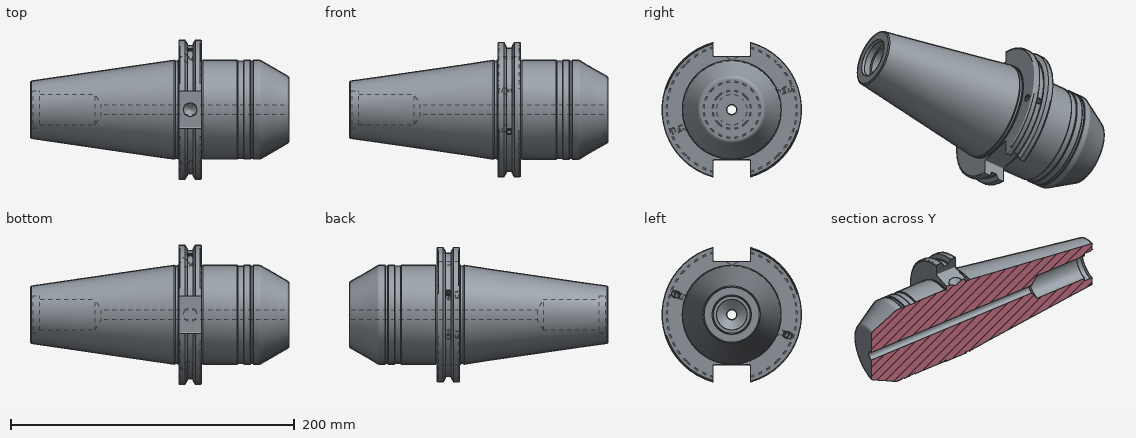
import cadquery as cq
import math


total_length = 182.6
gauge_line = 101.5
flange_start = 104.8
flange_width = 15.9
flange_end = flange_start + flange_width
flange_middle = flange_start + flange_width / 2

gauge_radius = 70.0 / 2
taper_slope = 7 / 48
taper_end_radius = gauge_radius - gauge_line * taper_slope
taper_end_chamfer = 0.7

body_radius = gauge_radius
neck_radius = 68.8 / 2
neck_width = 1.1
relief_bevel = 1.0
relief_end = 104.0
nose_start = 162.0
nose_angle = math.radians(30)
nose_end_radius = body_radius - (total_length - nose_start) * math.tan(nose_angle)
nose_start_fillet = 2.5
nose_end_fillet = 3.0
body_groove_radius = neck_radius
body_grooves = [(145.9, 150.8), (155.0, 157.5)]
body_groove_bevel = 0.5
groove_clearance = 1.8

flange_radius = 98.5 / 2
flange_fillet = 1.0
gripper_floor_radius = 90.8 / 2
gripper_floor_width = 4.0
gripper_wall_depth = 1.0
gripper_wall_angle = math.radians(30)
gripper_wall_radius = gripper_floor_radius + gripper_wall_depth
gripper_flare = (flange_radius - gripper_wall_radius) * math.tan(gripper_wall_angle)

slot_width = 26.3
slot_fillet = 0.7
top_slot_floor = 37.6
bottom_slot_floor = 35.5
dimple_radius = 9.5 / 2

pilot_radius = 7.0 / 2
thread_radius = 21.5 / 2
thread_depth = 45.6
counterbore_radius = 26.1 / 2
counterbore_depth = 6.4
mouth_radius = 27.8 / 2
mouth_depth = 1.8
drill_point_slope = math.tan(math.radians(31))

coolant_turn = 20.0
coolant_entry_radius = 42.2
coolant_slant = math.radians(35)
slanted_hole_radius = 4.2 / 2
slanted_seat_radius = 5.0 / 2
slanted_seat_depth = 2.4
cross_hole_radius = 3.3 / 2
cross_seat_radius = 4.2 / 2
cross_seat_depth = 0.7


def revolve_profile(points):
    """Turn an (x, radius) outline about the X axis."""
    outline = cq.Workplane("XY").polyline(points).close()
    return outline.revolve(360, (0, 0, 0), (1, 0, 0))


def make_cylinder(start, direction, radius, length):
    return cq.Workplane(obj=cq.Solid.makeCylinder(radius, length, cq.Vector(*start), cq.Vector(*direction)))


def make_shank():
    """Taper that ends in a short relief and a narrow collar against the flange."""
    relief_start = gauge_line + relief_bevel
    return revolve_profile([
        (0, 0),
        (0, taper_end_radius - taper_end_chamfer),
        (taper_end_chamfer, taper_end_radius + taper_end_chamfer * taper_slope),
        (gauge_line, gauge_radius),
        (relief_start, neck_radius),
        (relief_end, neck_radius),
        (relief_end, body_radius),
        (flange_start, body_radius),
        (flange_start, 0),
    ])


def make_body():
    """Cylindrical body with a neck behind the flange and a rounded conical nose."""
    start_setback = nose_start_fillet * math.tan(nose_angle / 2)
    end_turn = math.pi / 2 - nose_angle
    end_setback = nose_end_fillet * math.tan(end_turn / 2)
    cos_nose = math.cos(nose_angle)
    sin_nose = math.sin(nose_angle)
    start_arc_x = nose_start - start_setback
    start_arc_middle = (
        start_arc_x + nose_start_fillet * math.sin(nose_angle / 2),
        body_radius - nose_start_fillet * (1 - math.cos(nose_angle / 2)),
    )
    start_arc_end = (nose_start + start_setback * cos_nose, body_radius - start_setback * sin_nose)
    end_arc_start = (total_length - end_setback * cos_nose, nose_end_radius + end_setback * sin_nose)
    end_arc_radius = nose_end_radius - end_setback
    middle_angle = end_turn / 2
    end_arc_middle = (
        total_length - nose_end_fillet * (1 - math.cos(middle_angle)),
        end_arc_radius + nose_end_fillet * math.sin(middle_angle),
    )
    outline = (
        cq.Workplane("XY")
        .moveTo(flange_start, 0)
        .lineTo(flange_start, neck_radius)
        .lineTo(flange_end + neck_width, neck_radius)
        .lineTo(flange_end + neck_width, body_radius)
        .lineTo(start_arc_x, body_radius)
        .threePointArc(start_arc_middle, start_arc_end)
        .lineTo(*end_arc_start)
        .threePointArc(end_arc_middle, (total_length, end_arc_radius))
        .lineTo(total_length, 0)
        .close()
    )
    return outline.revolve(360, (0, 0, 0), (1, 0, 0))


def make_body_groove(start, end):
    """Shallow ring with bevelled walls, open beyond the body surface."""
    return revolve_profile([
        (start, body_radius),
        (start + body_groove_bevel, body_groove_radius),
        (end - body_groove_bevel, body_groove_radius),
        (end, body_radius),
        (end, body_radius + groove_clearance),
        (start, body_radius + groove_clearance),
    ])


def make_flange():
    """Flange with rounded outer rims and the gripper groove around its middle."""
    half_floor = gripper_floor_width / 2
    half_mouth = half_floor + gripper_flare
    flange = revolve_profile([
        (flange_start, 0),
        (flange_start, flange_radius),
        (flange_middle - half_mouth, flange_radius),
        (flange_middle - half_floor, gripper_wall_radius),
        (flange_middle - half_floor, gripper_floor_radius),
        (flange_middle + half_floor, gripper_floor_radius),
        (flange_middle + half_floor, gripper_wall_radius),
        (flange_middle + half_mouth, flange_radius),
        (flange_end, flange_radius),
        (flange_end, 0),
    ])
    return flange.faces("<X or >X").edges().fillet(flange_fillet)


def make_slot(floor, side):
    """Drive slot across the flange; side is +1 for the top and -1 for the bottom."""
    height = flange_radius
    slot = cq.Workplane("XY").box(flange_width, slot_width, height)
    floor_face = "<Z" if side > 0 else ">Z"
    slot = slot.faces(floor_face).edges("|X").fillet(slot_fillet)
    return slot.translate((flange_middle, 0, side * (floor + height / 2)))


def make_dimple():
    """Conical drill spot in the floor of the top slot."""
    depth = dimple_radius * drill_point_slope
    cone = cq.Solid.makeCone(
        dimple_radius, 0, depth, cq.Vector(flange_middle, 0, top_slot_floor), cq.Vector(0, 0, -1)
    )
    return cq.Workplane(obj=cone)


def make_bore():
    """Chamfered counterbore, threaded-rod bore with a drill point, and a pilot hole right through."""
    point_length = (thread_radius - pilot_radius) * drill_point_slope
    return revolve_profile([
        (0, 0),
        (0, mouth_radius),
        (mouth_depth, counterbore_radius),
        (counterbore_depth, counterbore_radius),
        (counterbore_depth, thread_radius),
        (thread_depth, thread_radius),
        (thread_depth + point_length, pilot_radius),
        (total_length, pilot_radius),
        (total_length, 0),
    ])


def make_coolant_channel(turn):
    """Slanted hole from the flange face meets a radial hole from the gripper groove, both seated."""
    direction = (math.cos(coolant_slant), -math.sin(coolant_slant), 0)
    overrun = 2 * slanted_seat_radius
    start = (
        flange_start - overrun * direction[0],
        coolant_entry_radius - overrun * direction[1],
        0,
    )
    axial_run = flange_middle - flange_start
    meeting_radius = coolant_entry_radius - axial_run * math.tan(coolant_slant)
    slanted_length = overrun + axial_run / math.cos(coolant_slant)
    slanted_hole = make_cylinder(start, direction, slanted_hole_radius, slanted_length)
    slanted_seat = make_cylinder(start, direction, slanted_seat_radius, overrun + slanted_seat_depth)

    outward = (0, 1, 0)
    seat_floor = gripper_floor_radius - cross_seat_depth
    cross_hole = make_cylinder(
        (flange_middle, meeting_radius, 0), outward, cross_hole_radius, seat_floor - meeting_radius
    )
    cross_seat = make_cylinder(
        (flange_middle, seat_floor, 0), outward, cross_seat_radius, flange_radius - seat_floor
    )
    channel = slanted_hole.union(slanted_seat).union(cross_hole).union(cross_seat)
    return channel.rotate((0, 0, 0), (1, 0, 0), turn)


result = make_shank().union(make_body()).union(make_flange())
for groove_start, groove_end in body_grooves:
    result = result.cut(make_body_groove(groove_start, groove_end))
result = result.cut(make_slot(top_slot_floor, side=1))
result = result.cut(make_slot(bottom_slot_floor, side=-1))
result = result.cut(make_dimple())
result = result.cut(make_bore())
for turn in (coolant_turn, coolant_turn + 180):
    result = result.cut(make_coolant_channel(turn))